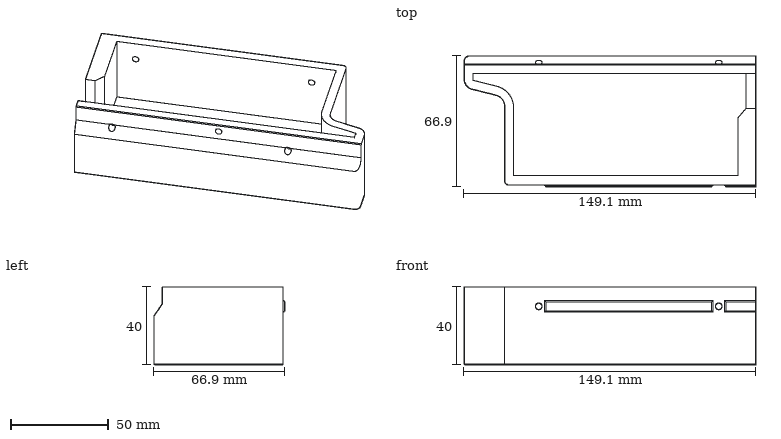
import cadquery as cq
import math

length = 149.1
depth = 66.0
height = 40.0
floor_thickness = 3.9
edge_chamfer = 0.5

side_wall = 4.6
left_wall_x = 20.7
ear_corner_y = 50.0
slant_slope = 0.25
ear_corner_radius = 5.4
inside_bend_radius = 11.3
outside_bend_radius = 5.8
front_corner_radius = 2.1
back_corner_radius = 2.8

shoulder_inset = 4.2
shoulder_top_z = 31.2
shoulder_bottom_z = 25.0
upper_back_wall = 4.9
lower_back_wall = 5.4
inner_slope_top_z = 31.3
inner_slope_bottom_z = 25.8
upper_outer_y = depth - shoulder_inset
upper_inner_y = upper_outer_y - upper_back_wall
lower_inner_y = depth - lower_back_wall

front_wall = 4.9
thick_right_wall = 9.1
thin_right_wall = 5.0
bevel_depth = 4.6
notch_front_y = 39.0
notch_floor_z = 23.5

hole_diameter = 3.3
left_hole_x = 38.2
right_hole_x = 130.2
rail_z = 30.0
middle_hole_x = length / 2
middle_hole_z = 36.0

rail_thickness = 0.9
rail_height = 5.8
rail_chamfer = 0.6
rail_end_bevel = 0.9
rail_hole_clearance = 2.8


def slant_y(x):
    """Y of the outer slanted face at x."""
    return ear_corner_y - slant_slope * x


def inner_slant_y(x):
    """Y of the inner slanted face at x, one side wall behind the outer one."""
    return slant_y(x) + side_wall * math.hypot(1, slant_slope)


def round_upright_edge(solid, x, y, z, radius):
    """Fillets the vertical edge whose middle is at (x, y, z)."""
    return solid.edges(cq.selectors.NearestToPointSelector((x, y, z))).fillet(radius)


def make_outer_block():
    bend_y = slant_y(left_wall_x)
    block = (
        cq.Workplane("XY")
        .polyline([
            (0, depth),
            (0, ear_corner_y),
            (left_wall_x, bend_y),
            (left_wall_x, 0),
            (length, 0),
            (length, depth),
        ])
        .close()
        .extrude(height)
    )
    rounded_corners = (
        (0, depth, back_corner_radius),
        (0, ear_corner_y, ear_corner_radius),
        (left_wall_x, bend_y, outside_bend_radius),
        (left_wall_x, 0, front_corner_radius),
    )
    for x, y, radius in rounded_corners:
        block = round_upright_edge(block, x, y, height / 2, radius)
    return block.faces("<Z").edges("not(>X)").chamfer(edge_chamfer)


def make_shoulder_cut():
    """Space above the shoulder, leaving a chamfer on the top back edge."""
    return (
        cq.Workplane("YZ")
        .polyline([
            (depth, shoulder_bottom_z),
            (upper_outer_y, shoulder_top_z),
            (upper_outer_y, height - edge_chamfer),
            (upper_outer_y - edge_chamfer, height),
            (depth, height),
        ])
        .close()
        .extrude(length)
    )


def make_cavity():
    """The plan of the cavity, limited by the stepped inner face of the back wall."""
    bend_x = left_wall_x + side_wall
    thick_inner_x = length - thick_right_wall
    thin_inner_x = length - thin_right_wall
    cavity_height = height - floor_thickness
    plan = (
        cq.Workplane("XY", origin=(0, 0, floor_thickness))
        .polyline([
            (side_wall, depth),
            (side_wall, inner_slant_y(side_wall)),
            (bend_x, inner_slant_y(bend_x)),
            (bend_x, front_wall),
            (thick_inner_x, front_wall),
            (thick_inner_x, notch_front_y - bevel_depth),
            (thin_inner_x, notch_front_y),
            (thin_inner_x, depth),
        ])
        .close()
        .extrude(cavity_height)
    )
    middle_z = floor_thickness + cavity_height / 2
    plan = round_upright_edge(plan, bend_x, inner_slant_y(bend_x), middle_z, inside_bend_radius)
    section = (
        cq.Workplane("YZ")
        .polyline([
            (0, 0),
            (lower_inner_y, 0),
            (lower_inner_y, inner_slope_bottom_z),
            (upper_inner_y, inner_slope_top_z),
            (upper_inner_y, height),
            (0, height),
        ])
        .close()
        .extrude(length)
    )
    return plan.intersect(section)


def make_notch():
    """Opening down from the top through the thin part of the right wall."""
    return cq.Workplane("XY", origin=(length - thin_right_wall, notch_front_y, notch_floor_z)).box(
        thin_right_wall,
        upper_inner_y - notch_front_y,
        height - notch_floor_z,
        centered=False,
    )


def make_hole(x, z, start_y):
    """Bore along Y from start_y out through the back."""
    return cq.Workplane("XZ", origin=(x, start_y, z)).circle(hole_diameter / 2).extrude(start_y - depth)


def make_rail_piece(start_x, end_x, end_bevel):
    """Rail on the front face with a sloped left end; end_bevel slopes the right end."""
    piece = (
        cq.Workplane("XY", origin=(0, 0, rail_z - rail_height / 2))
        .polyline([
            (start_x, 0),
            (start_x + rail_end_bevel, -rail_thickness),
            (end_x - end_bevel, -rail_thickness),
            (end_x, 0),
        ])
        .close()
        .extrude(rail_height)
    )
    return piece.faces("<Y").edges("|X").chamfer(rail_chamfer)


def make_rail_stub():
    """Short rail piece formed on the housing, cut off flush with the right end."""
    return make_rail_piece(right_hole_x + rail_hole_clearance, length, 0)


def make_housing():
    housing = make_outer_block().cut(make_shoulder_cut()).cut(make_cavity()).cut(make_notch())
    for x in (left_hole_x, right_hole_x):
        housing = housing.cut(make_hole(x, rail_z, 0))
    housing = housing.cut(make_hole(middle_hole_x, middle_hole_z, depth / 2))
    return housing.union(make_rail_stub()).solids()


def make_rail():
    """Long rail strip between the two through holes."""
    start_x = left_hole_x + rail_hole_clearance
    end_x = right_hole_x - rail_hole_clearance
    return make_rail_piece(start_x, end_x, rail_end_bevel)


housing = make_housing()
rail = make_rail()
result = cq.Compound.makeCompound([housing.val(), rail.val()])